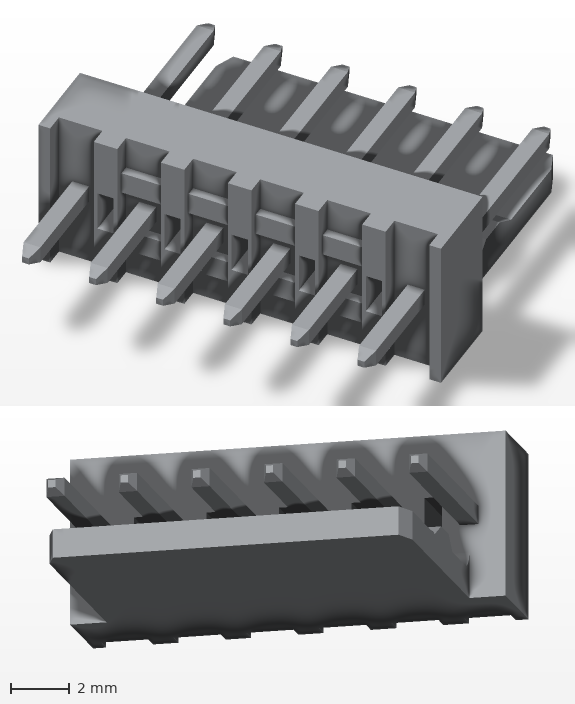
import cadquery as cq

PIN_COUNT = 6
PITCH = 2.54

BODY_DEPTH = 3.17
BODY_HEIGHT = 5.8
BODY_LENGTH = PIN_COUNT * PITCH
BODY_BOTTOM = -BODY_HEIGHT / 2

RECESS_WIDTH = 1.65
RECESS_DEPTH = 0.67
BAR_DEPTH = 0.35
BAR_HEIGHT = 0.83
BAR_GAP = 1.6

WINDOW_WIDTH = 0.61
WINDOW_HEIGHT = 1.52
WINDOW_Z = -0.04

PIN_SIZE = 0.64
PIN_TIP_SIZE = 0.26
PIN_TAPER = 0.5
PIN_FRONT_REACH = 3.55
LATCH_PAST_PINS = 1.04

LATCH_WIDTH = (PIN_COUNT - 1) * PITCH
OVERALL_DEPTH = 15.26
LATCH_END = OVERALL_DEPTH - PIN_FRONT_REACH
LATCH_THICKNESS = 1.0
LATCH_CORNER_X = 0.3
LATCH_CORNER_Y = 0.73
ROOT_RADIUS = 0.6

BUMP_HEIGHT = 0.5
BUMP_RAMP_START = 3.8
BUMP_TOP_START = 4.67
BUMP_TOP_END = 5.7
BUMP_RAMP_END = 6.22

pin_xs = [(i - (PIN_COUNT - 1) / 2) * PITCH for i in range(PIN_COUNT)]
gap_xs = [x + PITCH / 2 for x in pin_xs[:-1]]


def block(x_mid, x_size, y_start, y_size, z_mid, z_size):
    """Box centred in X and Z that starts at y_start and extends toward +Y."""
    y_mid = y_start + y_size / 2
    return cq.Workplane("XY").box(x_size, y_size, z_size).translate((x_mid, y_mid, z_mid))


def make_body():
    """Housing with a front recess around every pin and a window between pins."""
    body = block(0, BODY_LENGTH, 0, BODY_DEPTH, 0, BODY_HEIGHT)
    for x in pin_xs:
        body = body.cut(block(x, RECESS_WIDTH, 0, RECESS_DEPTH, 0, BODY_HEIGHT))
    for x in gap_xs:
        body = body.cut(block(x, WINDOW_WIDTH, 0, BODY_DEPTH, WINDOW_Z, WINDOW_HEIGHT))
    return body


def make_bars():
    """Raised bars above and below each inner pin, on the recess floor."""
    bar_offset = (BAR_GAP + BAR_HEIGHT) / 2
    bars = cq.Workplane("XY")
    for x in pin_xs[1:-1]:
        for z in (-bar_offset, bar_offset):
            bars = bars.add(block(x, RECESS_WIDTH, RECESS_DEPTH - BAR_DEPTH, BAR_DEPTH, z, BAR_HEIGHT))
    return bars.combine()


def make_latch():
    """Tongue behind the body with a snap bump, a root fillet and cut corners."""
    top = BODY_BOTTOM + LATCH_THICKNESS
    bump_top = top + BUMP_HEIGHT
    latch = (
        cq.Workplane("YZ", origin=(-LATCH_WIDTH / 2, 0, 0))
        .moveTo(BODY_DEPTH, BODY_BOTTOM)
        .lineTo(LATCH_END, BODY_BOTTOM)
        .lineTo(LATCH_END, top)
        .lineTo(LATCH_END - BUMP_RAMP_START, top)
        .lineTo(LATCH_END - BUMP_TOP_START, bump_top)
        .lineTo(LATCH_END - BUMP_TOP_END, bump_top)
        .lineTo(LATCH_END - BUMP_RAMP_END, top)
        .lineTo(BODY_DEPTH + ROOT_RADIUS, top)
        .radiusArc((BODY_DEPTH, top + ROOT_RADIUS), ROOT_RADIUS)
        .close()
        .extrude(LATCH_WIDTH)
    )
    for side in (-1, 1):
        edge_x = side * LATCH_WIDTH / 2
        corner = (
            cq.Workplane("XY", origin=(0, 0, BODY_BOTTOM))
            .moveTo(edge_x, LATCH_END)
            .lineTo(edge_x - side * LATCH_CORNER_X, LATCH_END)
            .lineTo(edge_x, LATCH_END - LATCH_CORNER_Y)
            .close()
            .extrude(LATCH_THICKNESS)
        )
        latch = latch.cut(corner)
    return latch


def make_pin(x):
    """Square pin along Y, tapered to a blunt point at both ends."""
    shaft_start = PIN_TAPER - PIN_FRONT_REACH
    shaft_end = LATCH_END - LATCH_PAST_PINS - PIN_TAPER
    pin = block(x, PIN_SIZE, shaft_start, shaft_end - shaft_start, 0, PIN_SIZE)
    for y, direction in ((shaft_start, -1), (shaft_end, 1)):
        plane = cq.Plane(origin=(x, y, 0), xDir=(1, 0, 0), normal=(0, direction, 0))
        point = (
            cq.Workplane(plane)
            .rect(PIN_SIZE, PIN_SIZE)
            .workplane(offset=PIN_TAPER)
            .rect(PIN_TIP_SIZE, PIN_TIP_SIZE)
            .loft(ruled=True)
        )
        pin = pin.union(point)
    return pin


result = make_body().union(make_bars()).union(make_latch())
for pin_x in pin_xs:
    result = result.union(make_pin(pin_x))